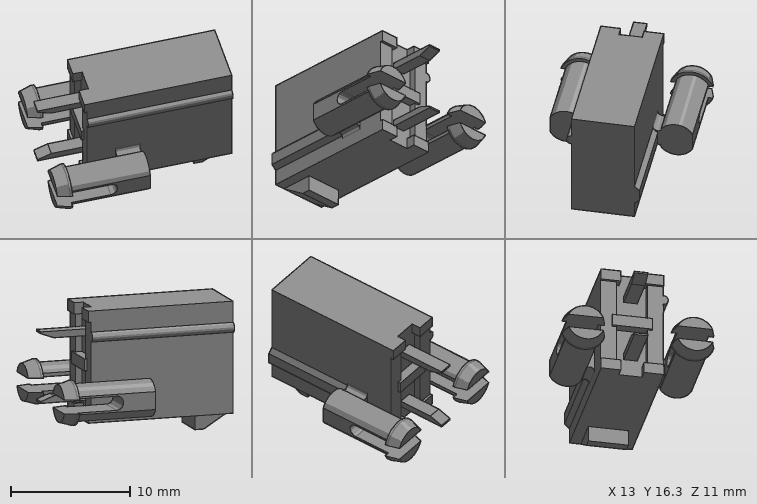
import cadquery as cq


overall_depth = 16.3
body_width = 5.38
body_depth = 12.81
body_height = 9.6
half_width = body_width / 2

pad_height = 0.98
pad_step = 0.23
groove_depth = 0.82
end_groove_width = 1.99
mid_groove_width = 2.64
bar_width = 3.42
bar_height = 1.03

latch_height = 1.4
latch_length = 3.03
latch_flat = 0.77

pin_width = 1.15
pin_thickness = 0.59
pin_reach = overall_depth - body_depth
pin_taper = 1.19
pin_tip_thickness = 0.16
upper_pin_top = 7.65
lower_pin_bottom = 1.52

post_x = 4.68
post_z = 2.3
post_radius = 1.6
post_rear = 4.81
post_outer_flat = 1.4
post_inner_flat = 1.3
head_radius = 1.9
head_start = 2.05
head_rim = 0.21
head_cone = 1.05
head_end = head_start + head_rim + head_cone
slot_width = 1.2
slot_rear = 1.95

bracket_length = 2.1
bracket_thickness = 1.43
bracket_arc = 0.42

key_reach = 0.42
key_base_height = 1.83
key_face_height = 1.01
round_key_radius = 0.42
round_key_z = 7.37


def box(x_range, y_range, z_range):
    """Axis-aligned box between the given limits."""
    size = [high - low for low, high in (x_range, y_range, z_range)]
    corner = (x_range[0], y_range[0], z_range[0])
    return cq.Workplane("XY").box(*size, centered=False).translate(corner)


def centred_box(width, y_range, z_range):
    """Box that is symmetric about X = 0."""
    return box((-width / 2, width / 2), y_range, z_range)


def front_plane(y):
    """Plane facing the front (-Y), with local X and Y along the part's X and Z."""
    return cq.Workplane("XZ", origin=(0, y, 0))


def side_prism(points, width):
    """Prism symmetric about X = 0 with a (Y, Z) outline."""
    return cq.Workplane("YZ").polyline(points).close().extrude(width / 2, both=True)


def make_housing():
    between_pads = (pad_height, body_height - pad_height)
    housing = centred_box(body_width, (0, body_depth), (0, body_height))
    housing = housing.cut(centred_box(body_width, (0, pad_step), between_pads))
    housing = housing.cut(centred_box(end_groove_width, (0, groove_depth), (0, body_height)))
    housing = housing.cut(centred_box(mid_groove_width, (0, groove_depth), between_pads))
    bar_bottom = (body_height - bar_height) / 2
    bar = centred_box(bar_width, (0, groove_depth), (bar_bottom, bar_bottom + bar_height))
    return housing.union(bar)


def make_latch():
    latch_front = body_depth - latch_length
    outline = [
        (body_depth, 0),
        (latch_front, 0),
        (latch_front, -latch_height),
        (latch_front + latch_flat, -latch_height),
    ]
    return side_prism(outline, bar_width)


def make_pin(flat_z, inward):
    """Pin with its flat face at flat_z; inward (+1 or -1) is the Z direction to its tapered face."""
    tapered_z = flat_z + inward * pin_thickness
    outline = [
        (groove_depth, flat_z),
        (-pin_reach, flat_z),
        (-pin_reach, flat_z + inward * pin_tip_thickness),
        (-pin_reach + pin_taper, tapered_z),
        (groove_depth, tapered_z),
    ]
    return side_prism(outline, pin_width)


def make_post():
    """Split snap-in post on the +X side."""
    shank = front_plane(post_rear).center(post_x, post_z).circle(post_radius)
    shank = shank.extrude(post_rear + head_start)
    flats = box(
        (post_x - post_inner_flat, post_x + post_outer_flat),
        (-head_start, post_rear),
        (post_z - post_radius, post_z + post_radius),
    )
    shank = shank.intersect(flats)

    head = (
        front_plane(0)
        .center(post_x, post_z)
        .transformed(rotate=(90, 0, 0))
        .moveTo(0, head_start)
        .lineTo(head_radius, head_start)
        .lineTo(head_radius, head_start + head_rim)
        .lineTo(post_radius, head_end)
        .lineTo(0, head_end)
        .close()
        .revolve(360, (0, 0), (0, 1))
    )

    slot_radius = slot_width / 2
    slot_x = (post_x - head_radius, post_x + head_radius)
    slot_round_y = slot_rear - slot_radius
    slot = box(slot_x, (-head_end, slot_round_y), (post_z - slot_radius, post_z + slot_radius))
    slot_end = (
        cq.Workplane("YZ", origin=(slot_x[0], slot_round_y, post_z))
        .circle(slot_radius)
        .extrude(2 * head_radius)
    )
    return shank.union(head).cut(slot).cut(slot_end)


def make_bracket():
    """Bracket from the +X wall to its post, hollowed above and below by arcs tangent to the wall."""
    arc_offset = bracket_thickness / 2 + bracket_arc
    bracket = box(
        (half_width, post_x - post_inner_flat),
        (post_rear - bracket_length, post_rear),
        (post_z - arc_offset, post_z + arc_offset),
    )
    for side in (1, -1):
        hollow = front_plane(post_rear).center(half_width + bracket_arc, post_z + side * arc_offset)
        bracket = bracket.cut(hollow.circle(bracket_arc).extrude(bracket_length))
    return bracket


def make_flat_key():
    """Trapezoidal rib on the -X wall, from the bracket to the rear face."""
    outer_x = -half_width - key_reach
    outline = [
        (-half_width, post_z - key_base_height / 2),
        (outer_x, post_z - key_face_height / 2),
        (outer_x, post_z + key_face_height / 2),
        (-half_width, post_z + key_base_height / 2),
    ]
    return front_plane(body_depth).polyline(outline).close().extrude(body_depth - post_rear)


def make_round_key():
    """Half-round rib on the +X wall; the half inside the housing merges with it."""
    rib = front_plane(body_depth).center(half_width, round_key_z).circle(round_key_radius)
    return rib.extrude(body_depth - pad_step)


right_post = make_post().union(make_bracket())
left_post = right_post.mirror("YZ")

result = (
    make_housing()
    .union(make_latch())
    .union(make_pin(upper_pin_top, -1))
    .union(make_pin(lower_pin_bottom, 1))
    .union(make_flat_key())
    .union(make_round_key())
    .union(right_post)
    .union(left_post)
)